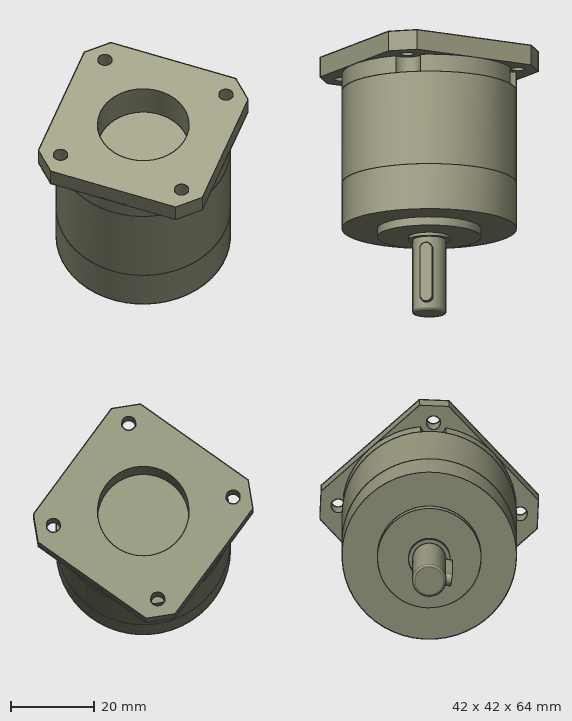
import cadquery as cq

total_height = 64.0
body_width = 42.0

plate_thickness = 4.85
neck_height = 4.15
corner_chamfer = 5.0
pilot_bore_diameter = 22.0
screw_spacing = 31.0
screw_hole_diameter = 3.4
screw_head_clearance_diameter = 6.5

barrel_height = 22.85

cap_height = 11.15
boss_diameter = 24.95
boss_height = 2.05
collar_diameter = 10.0
collar_height = 0.8
shaft_diameter = 8.0
shaft_tip_fillet = 0.5
key_width = 3.0
key_length = 14.45
key_top_radius = 5.4
key_tip_gap = 1.9
key_angle = -39.3

neck_top = total_height - plate_thickness
barrel_top = neck_top - neck_height
cap_top = barrel_top - barrel_height
boss_top = cap_top - cap_height
collar_top = boss_top - boss_height
shaft_top = collar_top - collar_height


def disc(diameter, bottom, top):
    """Upright cylinder on the Z axis between two levels."""
    return cq.Workplane("XY").workplane(offset=bottom).circle(diameter / 2).extrude(top - bottom)


def screw_cylinders(diameter, bottom, top):
    """One upright cylinder at each of the four screw positions."""
    return (
        cq.Workplane("XY")
        .workplane(offset=bottom)
        .rect(screw_spacing, screw_spacing, forConstruction=True)
        .vertices()
        .circle(diameter / 2)
        .extrude(top - bottom)
    )


def make_flange():
    """Chamfered square plate and scalloped neck, bored right through."""
    plate = (
        cq.Workplane("XY")
        .workplane(offset=neck_top)
        .rect(body_width, body_width)
        .extrude(plate_thickness)
        .edges("|Z")
        .chamfer(corner_chamfer)
    )
    neck = disc(body_width, barrel_top, neck_top)
    neck = neck.cut(screw_cylinders(screw_head_clearance_diameter, barrel_top, neck_top))
    flange = plate.union(neck)
    flange = flange.cut(screw_cylinders(screw_hole_diameter, neck_top, total_height))
    return flange.cut(disc(pilot_bore_diameter, barrel_top, total_height))


def make_barrel():
    """Plain gear barrel; its top closes the flange bore."""
    return disc(body_width, cap_top, barrel_top)


def make_key():
    """Round-ended key on the +X side, reaching from the shaft axis to its outer face."""
    key_middle = key_tip_gap + key_length / 2
    return (
        cq.Workplane("YZ")
        .center(0, key_middle)
        .slot2D(key_length, key_width, 90)
        .extrude(key_top_radius)
    )


def make_output_end():
    """Cap, boss, collar and keyed shaft in one piece, turned to the key direction."""
    cap = disc(body_width, boss_top, cap_top)
    boss = disc(boss_diameter, collar_top, boss_top)
    collar = disc(collar_diameter, shaft_top, collar_top)
    shaft = disc(shaft_diameter, 0, shaft_top).faces("<Z").edges().fillet(shaft_tip_fillet)
    output_end = cap.union(boss).union(collar).union(shaft).union(make_key())
    return output_end.rotate((0, 0, 0), (0, 0, 1), key_angle)


flange = make_flange()
barrel = make_barrel()
output_end = make_output_end()

result = cq.Compound.makeCompound([flange.val(), barrel.val(), output_end.val()])